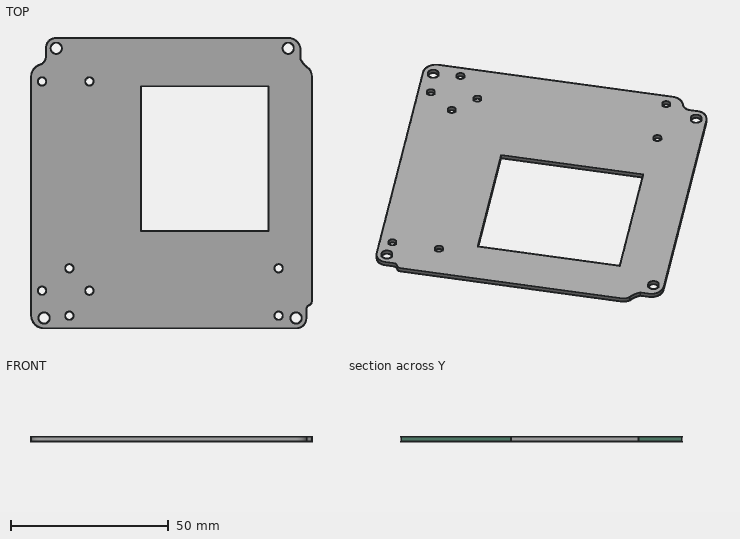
import cadquery as cq
import math

width = 89.1
height = 92.2
thickness = 1.6

lower_left_radius = 4.2
lug_radius = 3.3
upper_right_radius = 4.0
upper_left_step = 4.7
upper_right_step = 3.6
lower_right_step = 1.75
upper_left_shoulder = 79.8
lower_right_shoulder = 8.7
upper_left_rise = 6.4
lower_right_rise = 2.6
upper_left_shoulder_radius = 4.1
lower_right_shoulder_radius = 1.4

upper_right_hollow_end = (width - upper_right_step, 85.3)
upper_right_shoulder_radius = 4.15
upper_right_hollow_radius = 7.4
upper_right_edge_inset = 0.9
upper_right_edge_height = 82.4
upper_right_edge = (width - upper_right_edge_inset, upper_right_edge_height)
shoulder_rise = math.sqrt(
    upper_right_shoulder_radius**2 - (upper_right_shoulder_radius - upper_right_edge_inset) ** 2
)
upper_right_shoulder = (width, upper_right_edge_height - shoulder_rise)

window_left = 34.9
window_bottom = 31.0
window_width = 40.4
window_height = 45.8

corner_hole_diameter = 3.5
corner_hole_inset = 3.3
corner_holes = [
    (4.15, corner_hole_inset),
    (width - lower_right_step - lug_radius, corner_hole_inset),
    (upper_left_step + lug_radius, height - corner_hole_inset),
    (81.6, height - corner_hole_inset),
]

small_hole_diameter = 2.6
pattern_long = 66.4
pattern_short = 15.0
upright_pattern_corner = (3.5, 12.0)
lying_pattern_corner = (12.2, 4.1)


def step_curve(side_x, inward, shoulder_y, outward_y, step, rise, shoulder_radius):
    """Points of an S-shaped step made of two tangent arcs, from the side edge to the lug.

    inward is the X sign toward the plate middle; outward_y is the Y sign toward the lug.
    Returns the start, first arc middle, inflection, second arc middle and end.
    """
    radius_sum = (step**2 + rise**2) / (2 * step)
    hollow_radius = radius_sum - shoulder_radius
    sweep = math.asin(rise / radius_sum)

    def shoulder_point(angle):
        x = side_x + inward * shoulder_radius * (1 - math.cos(angle))
        y = shoulder_y + outward_y * shoulder_radius * math.sin(angle)
        return (x, y)

    def hollow_point(angle):
        x = side_x + inward * (step - hollow_radius * (1 - math.cos(angle)))
        y = shoulder_y + outward_y * (rise - hollow_radius * math.sin(angle))
        return (x, y)

    return [
        shoulder_point(0),
        shoulder_point(sweep / 2),
        shoulder_point(sweep),
        hollow_point(sweep / 2),
        hollow_point(0),
    ]


def add_step(outline, points):
    """Draw a line to the first point of a step, then its two arcs."""
    start, first_middle, inflection, second_middle, end = points
    outline = outline.lineTo(*start)
    outline = outline.threePointArc(first_middle, inflection)
    return outline.threePointArc(second_middle, end)


def make_plate():
    lower_right = step_curve(
        width, -1, lower_right_shoulder, -1, lower_right_step, lower_right_rise,
        lower_right_shoulder_radius,
    )
    upper_left = step_curve(
        0, 1, upper_left_shoulder, 1, upper_left_step, upper_left_rise,
        upper_left_shoulder_radius,
    )
    lower_lug_right = width - lower_right_step
    upper_lug_right = width - upper_right_step

    outline = cq.Workplane("XY").moveTo(lower_left_radius, 0)
    outline = outline.lineTo(lower_lug_right - lug_radius, 0)
    outline = outline.radiusArc((lower_lug_right, lug_radius), -lug_radius)
    outline = add_step(outline, lower_right[::-1])
    outline = outline.lineTo(*upper_right_shoulder)
    outline = outline.radiusArc(upper_right_edge, -upper_right_shoulder_radius)
    outline = outline.radiusArc(upper_right_hollow_end, upper_right_hollow_radius)
    outline = outline.lineTo(upper_lug_right, height - upper_right_radius)
    outline = outline.radiusArc((upper_lug_right - upper_right_radius, height), -upper_right_radius)
    outline = outline.lineTo(upper_left_step + lug_radius, height)
    outline = outline.radiusArc((upper_left_step, height - lug_radius), -lug_radius)
    outline = add_step(outline, upper_left[::-1])
    outline = outline.lineTo(0, lower_left_radius)
    outline = outline.radiusArc((lower_left_radius, 0), -lower_left_radius)
    return outline.close().extrude(thickness)


def make_window():
    window = cq.Workplane("XY").box(window_width, window_height, thickness, centered=False)
    return window.translate((window_left, window_bottom, 0))


def rectangle_corners(corner, size_x, size_y):
    x, y = corner
    return [(x, y), (x + size_x, y), (x, y + size_y), (x + size_x, y + size_y)]


def make_holes(centers, diameter):
    return cq.Workplane("XY").pushPoints(centers).circle(diameter / 2).extrude(thickness)


small_holes = rectangle_corners(upright_pattern_corner, pattern_short, pattern_long)
small_holes += rectangle_corners(lying_pattern_corner, pattern_long, pattern_short)

result = (
    make_plate()
    .cut(make_window())
    .cut(make_holes(corner_holes, corner_hole_diameter))
    .cut(make_holes(small_holes, small_hole_diameter))
)